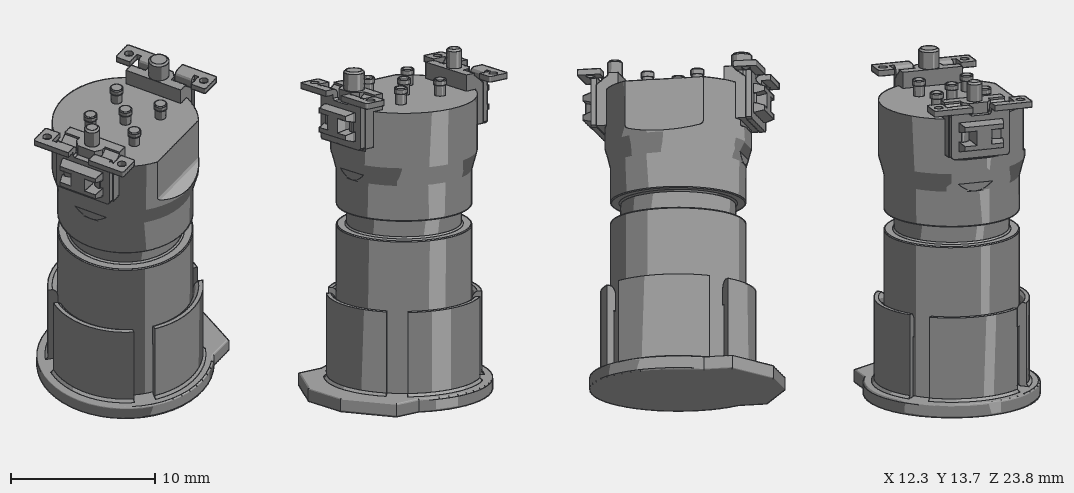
import cadquery as cq
import math

FLANGE_RADIUS = 6.15
FLANGE_HEIGHT = 1.0
FLANGE_ROUND = 0.15
TAB_REACH = 7.2
TAB_TIP_HALF_WIDTH = 1.75
TAB_HALF_WIDTH = 5.32
TAB_SHOULDER_Y = 5.1

WALL_RADIUS = 5.4
WALL_TOP = 7.0
WALL_LEAD_IN = 0.38
WALL_LEAD_IN_HEIGHT = 0.62
WALL_CLEARANCE = 0.15
BEAD_BOTTOM = 5.25
BASE_FLARE = 0.2
SLOT_WIDTH = 1.5
SLOT_ANGLES = (45, 135)

BARREL_RADIUS = 4.7
GROOVE_RADIUS = 4.0
GROOVE_BOTTOM = 11.95
GROOVE_TOP = 13.35
GROOVE_EDGE_CHAMFER = 0.07
GROOVE_ROOT_CHAMFER = 0.12
CONE_BOTTOM = 15.9
CONE_TOP = 17.27
HEAD_RADIUS = 5.08
HEAD_TOP = 21.23

KEY_FLAT_X = 4.25
KEY_FLAT_BOTTOM = 17.9
KEY_FLAT_EDGE = 17.38
KEY_FLAT_ROUND = 0.35

RELIEF_Y = 4.82
RELIEF_BOTTOM = 18.29
NOTCH_HALF_WIDTH = 0.74
NOTCH_BOTTOM = 17.55
RAMP_TOP_Y = 4.96
RAMP_TOP = 17.2
RAMP_BOTTOM = 16.48

CONTACT_TOP = 22.4
PIN_PITCH = 3.55
PIN_HEAD_RADIUS = 0.45
PIN_HEAD_HEIGHT = 0.4
PIN_HEAD_CHAMFER = 0.07
PIN_STEM_RADIUS = 0.38

BLOCK_HALF_WIDTH = 2.2
BLOCK_BOTTOM = 18.67
BLOCK_INNER_Y = 3.78
BLOCK_LEDGE_Y = 4.5
BLOCK_OUTER_Y = 5.32
BLOCK_SLOPE_TOP = 22.25
BLOCK_SLOPE_BOTTOM = 21.6
BLOCK_SEAT_Y = 4.04
NECK_HALF_WIDTH = 1.05
NECK_TIP_HALF_WIDTH = 0.66
NECK_BEND_Y = 4.87

BRACKET_THICKNESS = 0.4
PLATE_HALF_WIDTH = 2.14
PLATE_BOTTOM = 18.6
PLATE_CORNER = 0.15
BEND_ROUND = 0.38
EAR_HALF_WIDTH = 3.6
EAR_INNER_Y = 4.73
EAR_OUTER_Y = 6.36
EAR_CORNER = 0.15
EAR_RELIEF_HALF_WIDTH = 2.47
EAR_HOLE_X = 3.02
EAR_HOLE_Y = 5.53
EAR_HOLE_DIAMETER = 0.6
BRACKET_NOTCH_HALF_WIDTH = 0.8
BRACKET_NOTCH_BOTTOM = 21.61
BRACKET_NOTCH_CHAMFER = 0.15

HOOK_HALF_WIDTH = 1.6
HOOK_HEIGHT = 2.05
HOOK_MID_Z = 20.19
HOOK_TAPER_Y = 5.9
HOOK_OUTER_Y = 6.45
HOOK_TAPER = 0.17
HOOK_WINDOW_HEIGHT = 0.71
HOOK_WINDOW_FLOOR_Y = 5.35
HOOK_WEB_HALF_WIDTH = 0.55

POST_TOP = 23.75
POST_Y = 4.51
POST_CHAMFER = 0.15
FRONT_POST_RADIUS = 0.52
REAR_POST_RADIUS = 0.71

PLATE_OUTER_Y = BLOCK_OUTER_Y + BRACKET_THICKNESS
EAR_BOTTOM = CONTACT_TOP - BRACKET_THICKNESS


def box(x_range, y_range, z_range):
    """Axis-aligned box from its limits along X, Y and Z."""
    size = [high - low for low, high in (x_range, y_range, z_range)]
    corner = (x_range[0], y_range[0], z_range[0])
    return cq.Workplane("XY").box(*size, centered=False).translate(corner)


def yz_prism(points, half_width):
    """Prism along X, centred on the YZ plane, from a (y, z) outline."""
    return cq.Workplane("YZ").polyline(points).close().extrude(half_width, both=True)


def post(radius, x, y, bottom, top, chamfer):
    """Upright round post with a chamfered tip."""
    cylinder = cq.Workplane("XY", origin=(x, y, bottom)).circle(radius).extrude(top - bottom)
    return cylinder.faces(">Z").chamfer(chamfer)


def flange():
    tab_base_y = math.sqrt(FLANGE_RADIUS**2 - TAB_HALF_WIDTH**2)
    outline = (
        cq.Workplane("XY")
        .moveTo(TAB_HALF_WIDTH, tab_base_y)
        .lineTo(TAB_HALF_WIDTH, TAB_SHOULDER_Y)
        .lineTo(TAB_TIP_HALF_WIDTH, TAB_REACH)
        .lineTo(-TAB_TIP_HALF_WIDTH, TAB_REACH)
        .lineTo(-TAB_HALF_WIDTH, TAB_SHOULDER_Y)
        .lineTo(-TAB_HALF_WIDTH, tab_base_y)
        .threePointArc((0, -FLANGE_RADIUS), (TAB_HALF_WIDTH, tab_base_y))
        .close()
    )
    return outline.extrude(FLANGE_HEIGHT).faces("<Z or >Z").edges().fillet(FLANGE_ROUND)


def spring_walls():
    relief_radius = BARREL_RADIUS + WALL_CLEARANCE
    lead_in_arc = (WALL_LEAD_IN**2 + WALL_LEAD_IN_HEIGHT**2) / (2 * WALL_LEAD_IN)
    ring = (
        cq.Workplane("XZ")
        .moveTo(relief_radius, FLANGE_HEIGHT)
        .lineTo(WALL_RADIUS + BASE_FLARE, FLANGE_HEIGHT)
        .lineTo(WALL_RADIUS, FLANGE_HEIGHT + BASE_FLARE)
        .lineTo(WALL_RADIUS, WALL_TOP)
        .lineTo(BARREL_RADIUS + WALL_LEAD_IN, WALL_TOP)
        .radiusArc((BARREL_RADIUS, WALL_TOP - WALL_LEAD_IN_HEIGHT), -lead_in_arc)
        .lineTo(BARREL_RADIUS, BEAD_BOTTOM)
        .lineTo(relief_radius, BEAD_BOTTOM)
        .close()
        .revolve(360, (0, 0), (0, 1))
    )
    for angle in SLOT_ANGLES:
        slot = box(
            (-FLANGE_RADIUS, FLANGE_RADIUS),
            (-SLOT_WIDTH / 2, SLOT_WIDTH / 2),
            (FLANGE_HEIGHT, WALL_TOP),
        )
        ring = ring.cut(slot.rotate((0, 0, 0), (0, 0, 1), angle))
    return ring


def make_cap():
    return flange().union(spring_walls())


def barrel():
    edge_radius = BARREL_RADIUS - GROOVE_EDGE_CHAMFER
    root_radius = GROOVE_RADIUS + GROOVE_ROOT_CHAMFER
    profile = [
        (0, FLANGE_HEIGHT),
        (BARREL_RADIUS, FLANGE_HEIGHT),
        (BARREL_RADIUS, GROOVE_BOTTOM - GROOVE_EDGE_CHAMFER),
        (edge_radius, GROOVE_BOTTOM),
        (root_radius, GROOVE_BOTTOM),
        (GROOVE_RADIUS, GROOVE_BOTTOM + GROOVE_ROOT_CHAMFER),
        (GROOVE_RADIUS, GROOVE_TOP - GROOVE_ROOT_CHAMFER),
        (root_radius, GROOVE_TOP),
        (edge_radius, GROOVE_TOP),
        (BARREL_RADIUS, GROOVE_TOP + GROOVE_EDGE_CHAMFER),
        (BARREL_RADIUS, CONE_BOTTOM),
        (HEAD_RADIUS, CONE_TOP),
        (HEAD_RADIUS, HEAD_TOP),
        (0, HEAD_TOP),
    ]
    return cq.Workplane("XZ").polyline(profile).close().revolve(360, (0, 0), (0, 1))


def key_flat():
    """Cutter for the flat on the +X side of the head, with a sloping floor."""
    cutter = (
        cq.Workplane("XZ")
        .moveTo(KEY_FLAT_X, HEAD_TOP)
        .lineTo(KEY_FLAT_X, KEY_FLAT_BOTTOM)
        .lineTo(HEAD_RADIUS, KEY_FLAT_EDGE)
        .lineTo(FLANGE_RADIUS, KEY_FLAT_EDGE)
        .lineTo(FLANGE_RADIUS, HEAD_TOP)
        .close()
        .extrude(HEAD_RADIUS, both=True)
    )
    foot = cq.selectors.NearestToPointSelector((KEY_FLAT_X, 0, KEY_FLAT_BOTTOM))
    return cutter.edges(foot).fillet(KEY_FLAT_ROUND)


def side_flats():
    """Cutter for the stepped flats and ramp below the -Y block."""
    notch_y = math.sqrt(HEAD_RADIUS**2 - NOTCH_HALF_WIDTH**2)
    outline = [
        (-RELIEF_Y, HEAD_TOP),
        (-RELIEF_Y, RELIEF_BOTTOM),
        (-notch_y, RELIEF_BOTTOM),
        (-notch_y, NOTCH_BOTTOM),
        (-RAMP_TOP_Y, RAMP_TOP),
        (-BARREL_RADIUS, RAMP_BOTTOM),
        (-BARREL_RADIUS, CONE_BOTTOM),
        (-FLANGE_RADIUS, CONE_BOTTOM),
        (-FLANGE_RADIUS, HEAD_TOP),
    ]
    return yz_prism(outline, BLOCK_HALF_WIDTH)


def block():
    """Block on the -Y side: an L over the head rim, with a neck at its top."""
    outline = [
        (-BLOCK_INNER_Y, HEAD_TOP),
        (-BLOCK_INNER_Y, CONTACT_TOP),
        (-BLOCK_LEDGE_Y, CONTACT_TOP),
        (-BLOCK_LEDGE_Y, BLOCK_SLOPE_TOP),
        (-BLOCK_OUTER_Y, BLOCK_SLOPE_BOTTOM),
        (-BLOCK_OUTER_Y, BLOCK_BOTTOM),
        (-BLOCK_SEAT_Y, BLOCK_BOTTOM),
        (-BLOCK_SEAT_Y, HEAD_TOP),
    ]
    neck_outline = [
        (-NECK_HALF_WIDTH, -BLOCK_LEDGE_Y),
        (-NECK_HALF_WIDTH, -NECK_BEND_Y),
        (-NECK_TIP_HALF_WIDTH, -BLOCK_OUTER_Y),
        (NECK_TIP_HALF_WIDTH, -BLOCK_OUTER_Y),
        (NECK_HALF_WIDTH, -NECK_BEND_Y),
        (NECK_HALF_WIDTH, -BLOCK_LEDGE_Y),
    ]
    neck = (
        cq.Workplane("XY", origin=(0, 0, BLOCK_SLOPE_BOTTOM))
        .polyline(neck_outline)
        .close()
        .extrude(CONTACT_TOP - BLOCK_SLOPE_BOTTOM)
    )
    return yz_prism(outline, BLOCK_HALF_WIDTH).union(neck)


def bracket():
    """Bent sheet on the -Y block: upright plate, outward lip and two ears."""
    plate = box(
        (-PLATE_HALF_WIDTH, PLATE_HALF_WIDTH),
        (-PLATE_OUTER_Y, -BLOCK_OUTER_Y),
        (PLATE_BOTTOM, CONTACT_TOP),
    )
    plate = plate.edges("|Y and <Z").chamfer(PLATE_CORNER)
    plate = plate.edges("|X and >Z and >Y").fillet(BEND_ROUND)

    sheet = box(
        (-EAR_HALF_WIDTH, EAR_HALF_WIDTH),
        (-EAR_OUTER_Y, -EAR_INNER_Y),
        (EAR_BOTTOM, CONTACT_TOP),
    )
    sheet = sheet.edges("|Z").fillet(EAR_CORNER)
    ear_gap = box(
        (-EAR_RELIEF_HALF_WIDTH, EAR_RELIEF_HALF_WIDTH),
        (-PLATE_OUTER_Y, -EAR_INNER_Y),
        (EAR_BOTTOM, CONTACT_TOP),
    )
    holes = (
        cq.Workplane("XY", origin=(0, -EAR_HOLE_Y, EAR_BOTTOM))
        .pushPoints([(-EAR_HOLE_X, 0), (EAR_HOLE_X, 0)])
        .circle(EAR_HOLE_DIAMETER / 2)
        .extrude(BRACKET_THICKNESS)
    )
    notch = box(
        (-BRACKET_NOTCH_HALF_WIDTH, BRACKET_NOTCH_HALF_WIDTH),
        (-EAR_OUTER_Y, -BLOCK_OUTER_Y),
        (BRACKET_NOTCH_BOTTOM, CONTACT_TOP),
    )
    notch = notch.edges("|Y and <Z").chamfer(BRACKET_NOTCH_CHAMFER)
    return sheet.cut(ear_gap).cut(holes).union(plate).cut(notch)


def hook():
    """Tapered latch standing on the bracket plate."""
    base = box(
        (-HOOK_HALF_WIDTH, HOOK_HALF_WIDTH),
        (-HOOK_TAPER_Y, -PLATE_OUTER_Y),
        (HOOK_MID_Z - HOOK_HEIGHT / 2, HOOK_MID_Z + HOOK_HEIGHT / 2),
    )
    taper_length = HOOK_OUTER_Y - HOOK_TAPER_Y
    tip = (
        cq.Workplane("XZ", origin=(0, -HOOK_TAPER_Y, HOOK_MID_Z))
        .rect(2 * HOOK_HALF_WIDTH, HOOK_HEIGHT)
        .extrude(taper_length, taper=math.degrees(math.atan2(HOOK_TAPER, taper_length)))
    )
    return base.union(tip)


def hook_window():
    """Cutter for the +X hook window: drafted mouth and a rounded floor sinking toward the web."""
    web_root = HOOK_WEB_HALF_WIDTH + HOOK_TAPER
    floor_edge = HOOK_HALF_WIDTH - HOOK_TAPER
    floor_width = floor_edge - web_root
    floor_drop = HOOK_TAPER_Y - HOOK_WINDOW_FLOOR_Y
    floor_radius = (floor_width**2 + floor_drop**2) / (2 * floor_drop)
    outline = (
        cq.Workplane("XY", origin=(0, 0, HOOK_MID_Z))
        .moveTo(HOOK_WEB_HALF_WIDTH, -HOOK_OUTER_Y)
        .lineTo(web_root, -HOOK_TAPER_Y)
        .lineTo(web_root, -HOOK_WINDOW_FLOOR_Y)
        .radiusArc((floor_edge, -HOOK_TAPER_Y), -floor_radius)
        .lineTo(floor_edge, -PLATE_OUTER_Y)
        .lineTo(HOOK_HALF_WIDTH, -PLATE_OUTER_Y)
        .lineTo(HOOK_HALF_WIDTH, -HOOK_OUTER_Y)
        .close()
        .extrude(HOOK_HEIGHT / 2, both=True)
    )
    half_height = HOOK_WINDOW_HEIGHT / 2
    half_mouth = half_height + HOOK_TAPER
    profile = [
        (-HOOK_OUTER_Y, HOOK_MID_Z - half_mouth),
        (-HOOK_TAPER_Y, HOOK_MID_Z - half_height),
        (-HOOK_WINDOW_FLOOR_Y, HOOK_MID_Z - half_height),
        (-HOOK_WINDOW_FLOOR_Y, HOOK_MID_Z + half_height),
        (-HOOK_TAPER_Y, HOOK_MID_Z + half_height),
        (-HOOK_OUTER_Y, HOOK_MID_Z + half_mouth),
    ]
    return outline.intersect(yz_prism(profile, HOOK_HALF_WIDTH))


def contact_pins():
    half = PIN_PITCH / 2
    pins = cq.Workplane("XY")
    for x, y in [(0, 0), (half, half), (-half, half), (-half, -half), (half, -half)]:
        stem = cq.Workplane("XY", origin=(x, y, HEAD_TOP)).circle(PIN_STEM_RADIUS)
        pins = pins.add(stem.extrude(CONTACT_TOP - HEAD_TOP))
        head_bottom = CONTACT_TOP - PIN_HEAD_HEIGHT
        pins = pins.add(post(PIN_HEAD_RADIUS, x, y, head_bottom, CONTACT_TOP, PIN_HEAD_CHAMFER))
    return pins.combine()


def make_connector():
    flats = side_flats()
    body = barrel().cut(key_flat()).cut(flats).cut(flats.mirror("XZ"))
    window = hook_window()
    side = block().union(bracket()).union(hook()).cut(window).cut(window.mirror("YZ"))
    body = body.union(side).union(side.mirror("XZ"))
    body = body.union(post(FRONT_POST_RADIUS, 0, -POST_Y, CONTACT_TOP, POST_TOP, POST_CHAMFER))
    body = body.union(post(REAR_POST_RADIUS, 0, POST_Y, CONTACT_TOP, POST_TOP, POST_CHAMFER))
    return body.union(contact_pins())


cap = make_cap()
connector = make_connector()
result = cq.Compound.makeCompound([cap.val(), connector.val()])